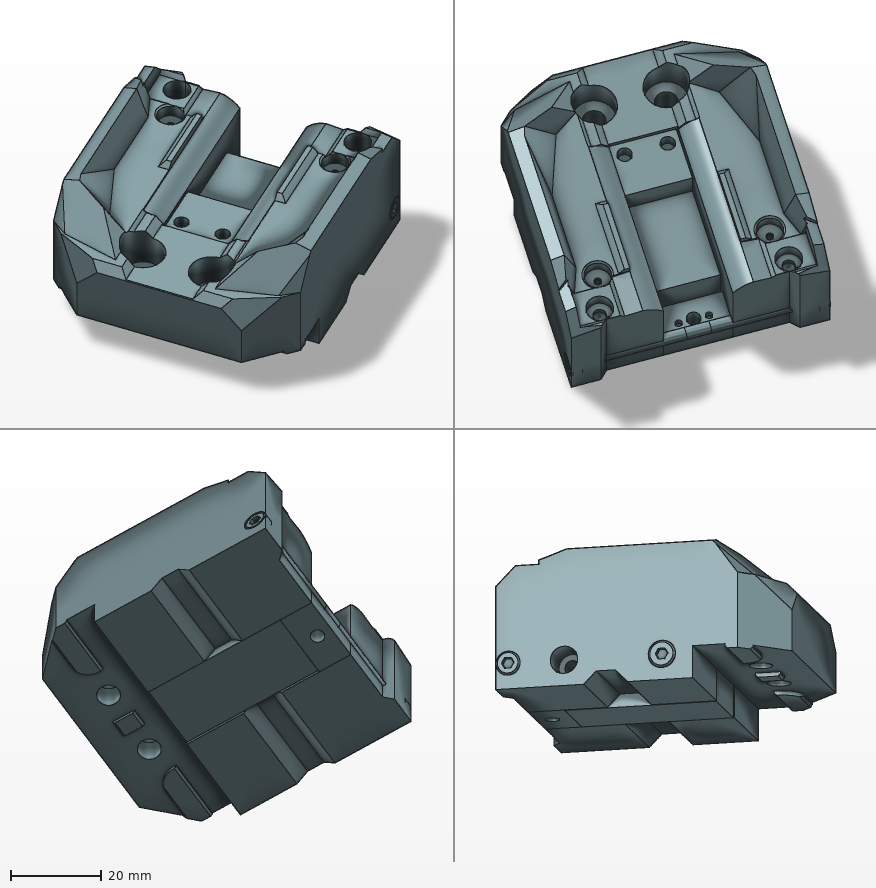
import cadquery as cq
import math

half_width = 29.85
half_length = 32.6
peak_height = 32.1
head_proud = 0.3
far = 78.2

nose_half_width = 19.9
corner_cut = half_width - nose_half_width
rear_face_y = 30.7
ear_inner_x = -23.0

foot_y = -12.4
nose_bottom = 7.3
nose_top = 23.5
nose_chamfer = 1.95
groove_floor = 21.75
groove_half_width = 8.1
shelf = 24.4
rear_pad = 24.25
ear_top = 25.3
rear_block_top = 28.0
roof_edge = 31.15
roof_slope = 0.26

channel_half_width = 8.0
block_gap = 0.45
block_front_y = -12.2
block_step_y = 0.6
bridge_front_y = 22.4
block_high = 21.1
block_low = 14.9
axis_z = 5.85
bridge_top = 6.7

shoulder_x = -12.8
shoulder_top = 24.0
shoulder_bottom = 21.1
shoulder_radius = 7.8
shoulder_front_y = -12.0

shaft_diameter = 2.8
socket_diameter = 2.8
socket_depth = 1.3
head_length = 2.6
pin_y = 29.8
pin_head = 5.5
pin_head_face = 4.7
spacer_length = 5.7
screw_y = -5.35
screw_head = 6.2
screw_head_face = 5.3
screw_end_x = 0.0
side_hole_y = 17.0
side_counterbore = 6.2
side_counterbore_depth = 7.8
side_hole = 3.4


def box(x0, x1, y0, y1, z0, z1):
    """Axis-aligned box between two corners."""
    return cq.Workplane("XY").box(x1 - x0, y1 - y0, z1 - z0, centered=False).translate((x0, y0, z0))


def beyond(point, normal):
    """Everything on the far side of a plane, in the direction of its normal."""
    plane = cq.Plane(origin=point, normal=normal)
    return cq.Workplane(plane).rect(2 * far, 2 * far).extrude(far)


def beyond_points(a, b, c):
    """Everything above the sloping plane through three points."""
    va, vb, vc = cq.Vector(*a), cq.Vector(*b), cq.Vector(*c)
    normal = (vb - va).cross(vc - va)
    if normal.z < 0:
        normal = normal * -1
    return beyond(a, normal.toTuple())


def along_y(points, y0, y1):
    """Prism with an (x, z) profile, running from y0 to y1."""
    return cq.Workplane("XZ", origin=(0, y0, 0)).polyline(points).close().extrude(y0 - y1)


def along_x(points, x0, x1):
    """Prism with a (y, z) profile, running from x0 to x1."""
    return cq.Workplane("YZ", origin=(x0, 0, 0)).polyline(points).close().extrude(x1 - x0)


def rod_x(diameter, x0, x1, y):
    """Cylinder along X on the common cross-hole height."""
    plane = cq.Plane(origin=(x0, y, axis_z), xDir=(0, 0, -1), normal=(1, 0, 0))
    return cq.Workplane(plane).circle(diameter / 2).extrude(x1 - x0)


def rod_z(diameter, x, y, z0, z1):
    """Upright cylinder."""
    return cq.Workplane("XY", origin=(x, y, z0)).circle(diameter / 2).extrude(z1 - z0)


ridge_front = (-26.05, -16.8, peak_height)
ridge_rear_y = 16.4
slope_low_outer = (-25.8, -25.6, nose_top)
slope_low_inner = (-12.05, -29.05, nose_top)
pocket_tip = (-24.0, -2.35, shelf)
pocket_bend = (-18.8, -16.75, shelf)
pocket_front = (-12.95, -20.85, shelf)
pocket_wall_top = (-26.7, ridge_rear_y, 31.9)
pocket_wall_rear = (-25.8, 21.5, shelf)
rear_pad_x = -27.35
valley_outer_x = -16.95
valley_drop = 0.3
pad_edge_x = -17.9


def housing_blank():
    """Upright prism with the cut-off front corner and the rear ear."""
    ear_step = half_length - rear_face_y
    outline = [
        (0, -half_length),
        (-nose_half_width, -half_length),
        (-half_width, -half_length + corner_cut),
        (-half_width, half_length),
        (ear_inner_x, half_length),
        (ear_inner_x + ear_step, rear_face_y),
        (0, rear_face_y),
    ]
    blank = cq.Workplane("XY").polyline(outline).close().extrude(peak_height + 0.65)
    return blank.cut(box(-far, far, -far, foot_y, -0.65, nose_bottom))


def cut_roof(body):
    """Outward-sloping roof, its rear ramp, and the lower block behind it."""
    ramp_slope = 0.34
    ramp_end_y = 22.8
    chamfer_sum = 56.1
    chamfer_twist = 0.2
    edge = (-half_width, ridge_rear_y, roof_edge)
    body = body.cut(beyond(edge, (-roof_slope, 0, 1)))
    ramp = beyond(edge, (-roof_slope, ramp_slope, 1))
    behind_ramp = beyond((-half_width, ramp_end_y, 0), (2, 3, 0))
    low_roof = beyond((-half_width, 0, rear_block_top), (-roof_slope, 0, 1))
    body = body.cut(ramp.cut(behind_ramp)).cut(low_roof.intersect(behind_ramp))
    chamfer_point = (-half_width, half_length, chamfer_sum - half_length)
    return body.cut(beyond(chamfer_point, (-chamfer_twist, 1, 1)))


def cut_nose(body):
    """Sloping front of the ridge and the chamfered front edge."""
    corner_facet_y = -17.1
    above_nose = box(-far, far, -far, 0, nose_top, far)
    front_slope = beyond_points(slope_low_outer, slope_low_inner, ridge_front)
    corner_facet = beyond_points(
        (-half_width, corner_facet_y, roof_edge),
        (-half_width, -half_length + corner_cut, nose_top),
        slope_low_outer,
    )
    inner_slope = beyond(slope_low_inner, (1, 0, 1)).intersect(
        box(-far, far, -far, shoulder_front_y, nose_top, far)
    )
    body = body.cut(front_slope.intersect(above_nose)).cut(corner_facet.intersect(above_nose))
    body = body.cut(inner_slope)
    corner_bevel_height = 16.7
    body = body.cut(beyond((-nose_half_width, -half_length, corner_bevel_height), (-1, -2, 1)))
    return body.cut(beyond((0, -half_length, nose_top - nose_chamfer), (0, -1, 1)))


def cut_pocket(body):
    """Pocket above the shelf: one straight wall and three slanted ones."""
    above_shelf = box(-far, far, -far, bridge_front_y, shelf, far)
    wall_foot = (pocket_tip[0], ridge_rear_y, shelf)
    straight = beyond_points(wall_foot, pocket_tip, pocket_wall_top)
    tip_facet = beyond_points(pocket_tip, pocket_bend, ridge_front)
    front_facet = beyond_points(pocket_bend, pocket_front, ridge_front)
    main = above_shelf.intersect(straight).intersect(tip_facet).intersect(front_facet)
    flare = beyond_points(wall_foot, pocket_wall_rear, pocket_wall_top)
    rear = box(-far, far, ridge_rear_y, bridge_front_y, shelf, far).intersect(flare)
    return body.cut(main).cut(rear)


def cut_rear_pad(body):
    """Flat pad at the rear with a sloped back wall, and the shallow valley beside it."""
    pad_back_y = 30.55
    slope_back_y = 31.55
    valley_front_y = 20.6
    valley_corner_y = 20.8
    above_pad = [
        (bridge_front_y, rear_pad),
        (pad_back_y, rear_pad),
        (slope_back_y, ear_top),
        (far, ear_top),
        (far, far),
        (bridge_front_y, far),
    ]
    valley = [
        (shoulder_x, shoulder_top),
        (valley_outer_x, shoulder_top - valley_drop),
        (pad_edge_x, rear_pad),
        (pad_edge_x, far),
        (shoulder_x, far),
    ]
    valley_end = beyond_points(
        (valley_outer_x, valley_corner_y, shoulder_top - valley_drop),
        (shoulder_x, bridge_front_y, shoulder_top),
        (shoulder_x, valley_front_y, shelf),
    )
    valley_cut = along_y(valley, valley_front_y, far).intersect(valley_end)
    return body.cut(along_x(above_pad, rear_pad_x, 0.65)).cut(valley_cut)


def cut_shoulder(body):
    """Small step down from the shelf and a convex rounding from there to the channel."""
    run = -channel_half_width - shoulder_x
    drop = shoulder_top - shoulder_bottom
    chord = math.hypot(run, drop)
    bulge = shoulder_radius - math.sqrt(shoulder_radius**2 - (chord / 2) ** 2)
    middle = (
        shoulder_x + run / 2 + bulge * drop / chord,
        shoulder_top - drop / 2 + bulge * run / chord,
    )
    above = (
        cq.Workplane("XZ", origin=(0, shoulder_front_y, 0))
        .moveTo(shoulder_x, shoulder_top)
        .threePointArc(middle, (-channel_half_width, shoulder_bottom))
        .lineTo(0, shoulder_bottom)
        .lineTo(0, far)
        .lineTo(shoulder_x, far)
        .close()
        .extrude(-far)
    )
    return body.cut(above)


def cut_channel(body):
    """Slot between the arms and the shallow groove across the nose."""
    flare = nose_top - groove_floor
    groove = [
        (0.65, groove_floor),
        (-groove_half_width, groove_floor),
        (-groove_half_width - flare, nose_top),
        (-groove_half_width - flare, far),
        (0.65, far),
    ]
    body = body.cut(along_y(groove, -far, shoulder_front_y))
    return body.cut(box(-channel_half_width, 0.65, foot_y, far, -0.65, far))


def stop_rail():
    """Raised bar beside the shoulder, bevelled on its outer side and front end."""
    height = 1.4
    bottom_width = 2.6
    front_y, rear_y = 2.3, 20.5
    outer_x = shoulder_x - bottom_width
    rail = box(outer_x, shoulder_x, front_y, rear_y, shelf - 0.65, shelf + height)
    rail = rail.cut(beyond((outer_x, 0, shelf), (-1, 0, 1)))
    return rail.cut(beyond((0, front_y, shelf), (0, -1, 1)))


def locating_pads():
    """Low pads under the nose: one at the side and half of one on the centre line."""
    front_y, rear_y = -25.4, -19.75
    depth = 1.0
    bevel = 0.5
    bottom = nose_bottom - depth
    profile = [
        (front_y, nose_bottom),
        (front_y, bottom + bevel),
        (front_y + bevel, bottom),
        (rear_y - bevel, bottom),
        (rear_y, bottom + bevel),
        (rear_y, nose_bottom),
    ]
    side_inner_x = -15.05
    end_radius = 4.75
    centre_half_width = 2.0
    side = along_x(profile, -half_width, side_inner_x)
    rounded = (
        box(-far, side_inner_x, front_y, 0, 0, nose_bottom)
        .edges("|Z and >X and <Y")
        .fillet(end_radius)
    )
    diagonal = beyond((-half_width, -half_length + corner_cut, 0), (-1, -1, 0))
    side = side.intersect(rounded).cut(diagonal)
    return side, along_x(profile, -centre_half_width, 0)


def cut_upright_holes(body):
    """Bolt hole, detent hole, and rear counterbore with its well down to the pin, for one half."""
    bolt_x, bolt_y = -8.35, -22.55
    bolt_hole, bolt_head, bolt_seat = 5.3, 10.3, 14.35
    body = body.cut(rod_z(bolt_hole, bolt_x, bolt_y, 0, far))
    body = body.cut(rod_z(bolt_head, bolt_x, bolt_y, bolt_seat, far))

    detent_x, detent_y = -19.9, 19.4
    detent, detent_mouth, detent_floor = 6.1, 7.0, 21.2
    pilot_mouth, pilot, pilot_step, pilot_depth = 1.6, 1.2, 0.65, 1.95
    lip = (detent_mouth - detent) / 2
    body = body.cut(rod_z(detent, detent_x, detent_y, detent_floor, far))
    mouth = cq.Workplane(
        cq.Solid.makeCone(detent / 2, detent_mouth / 2, lip).translate(
            cq.Vector(detent_x, detent_y, shelf - lip)
        )
    )
    body = body.cut(mouth.intersect(box(-far, 0, 0, bridge_front_y, 0, far)))
    body = body.cut(rod_z(pilot_mouth, detent_x, detent_y, detent_floor - pilot_step, far))
    body = body.cut(rod_z(pilot, detent_x, detent_y, detent_floor - pilot_depth, far))

    rear_x, rear_y = -21.8, 27.55
    rear_head, rear_drill, rear_floor, drill_floor = 6.1, 3.0, 20.85, 19.55
    shaft_front_y = pin_y - shaft_diameter / 2
    head = rod_z(rear_head, rear_x, rear_y, rear_floor, far)
    well = rod_z(rear_head, rear_x, rear_y, axis_z, far).intersect(
        box(-far, 0, shaft_front_y, far, axis_z, far)
    )
    point_length = rear_drill / 2 / math.sqrt(3)
    drill_point = cq.Solid.makeCone(0, rear_drill / 2, point_length)
    drill_point = drill_point.translate(cq.Vector(rear_x, rear_y, drill_floor - point_length))
    body = body.cut(head).cut(well)
    return body.cut(rod_z(rear_drill, rear_x, rear_y, drill_floor, far)).cut(cq.Workplane(drill_point))


def recoil_notch():
    """Trapezoidal notch across the underside of both arms."""
    rear_y, front_y, height = 12.5, 2.5, 2.85
    points = [(rear_y, 0), (rear_y - height, height), (front_y + height, height), (front_y, 0)]
    return along_x(points, -far, far)


def headed_shaft(y, head, face, end_x):
    """Screw along X whose bevelled head stands proud of the left face, with a hex socket."""
    start_x = -half_width - head_proud
    bevel = (head - face) / 2
    body = rod_x(head, start_x, start_x + head_length, y)
    body = body.faces("<X").chamfer(bevel)
    body = body.union(rod_x(shaft_diameter, start_x, end_x, y))
    socket = cq.Workplane("YZ", origin=(start_x, y, axis_z)).polygon(6, socket_diameter).extrude(socket_depth)
    return body.cut(socket)


def headed_hole(y, head, end_x):
    """Space taken by a screw of the same head and length."""
    seat_x = -half_width - head_proud + head_length
    return rod_x(head, -far, seat_x, y).union(rod_x(shaft_diameter, seat_x - 0.65, end_x, y))


pin_mirror_x = -head_proud / 2
pin_end_x = pin_mirror_x - spacer_length / 2


def mirror_pin(shape):
    """The same shape on the other side of the pin mirror plane."""
    return shape.mirror("YZ", (pin_mirror_x, 0, 0))


left_pin = headed_shaft(pin_y, pin_head, pin_head_face, pin_end_x)
rear_pins = [left_pin, mirror_pin(left_pin)]
pin_spacer = rod_x(shaft_diameter, pin_end_x, pin_end_x + spacer_length, pin_y)
clamp_screw = headed_shaft(screw_y, screw_head, screw_head_face, screw_end_x)

pin_hole = headed_hole(pin_y, pin_head, 0)
screw_hole = headed_hole(screw_y, screw_head, screw_end_x)


def build_housing():
    half = housing_blank()
    for feature in (cut_roof, cut_nose, cut_pocket, cut_rear_pad, cut_shoulder, cut_channel):
        half = feature(half)
    half = half.union(stop_rail())
    for pad in locating_pads():
        half = half.union(pad)
    half = cut_upright_holes(half)
    body = half.union(half.mirror("YZ"))
    body = body.cut(recoil_notch())
    body = body.cut(pin_hole).cut(mirror_pin(pin_hole)).cut(screw_hole)
    body = body.cut(rod_x(side_counterbore, -far, -half_width + side_counterbore_depth, side_hole_y))
    return body.cut(rod_x(side_hole, -half_width, 0, side_hole_y))


def build_clamp_block():
    """Stepped block between the arms, with a gap on its left."""
    left_x = -channel_half_width + block_gap
    profile = [
        (block_front_y, 0),
        (block_front_y, block_high),
        (block_step_y, block_high),
        (block_step_y, block_low),
        (bridge_front_y, block_low),
        (bridge_front_y, 0),
    ]
    hole, hole_depth, hole_y = 3.4, 3.25, -9.25
    hole_spacing = 10.0
    centre_x = (left_x + channel_half_width) / 2
    body = along_x(profile, left_x, channel_half_width).cut(screw_hole)
    for side in (-1, 1):
        x = centre_x + side * hole_spacing / 2
        body = body.cut(rod_z(hole, x, hole_y, block_high - hole_depth, far))
    return body


def build_rear_bridge():
    """Low plate that joins the arms at the rear and carries the pins in a round seat."""
    centre_hole, centre_y = 3.2, 27.1
    small_hole, small_depth, small_x, small_y = 1.6, 1.95, 3.5, 27.3
    body = box(-channel_half_width, channel_half_width, bridge_front_y, rear_face_y, 0, bridge_top)
    body = body.cut(rod_x(shaft_diameter, -far, far, pin_y))
    body = body.cut(rod_z(centre_hole, 0, centre_y, -0.65, far))
    for side in (-1, 1):
        body = body.cut(rod_z(small_hole, side * small_x, small_y, bridge_top - small_depth, far))
    return body


housing = build_housing()
clamp_block = build_clamp_block()
rear_bridge = build_rear_bridge()

result = cq.Compound.makeCompound(
    [
        housing.val(),
        clamp_block.val(),
        rear_bridge.val(),
        *[pin.val() for pin in rear_pins],
        pin_spacer.val(),
        clamp_screw.val(),
    ]
)